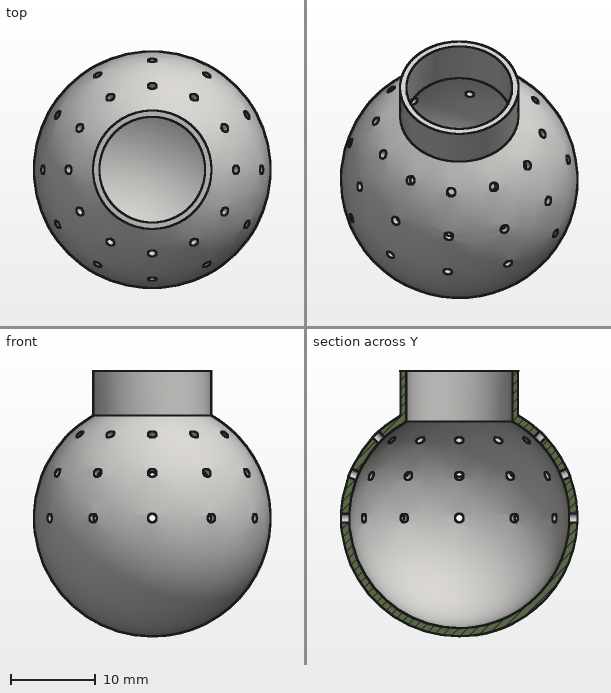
import cadquery as cq
import math

total_height = 31.4
ball_radius = 14.0
ball_wall = 1.0
neck_wall = 0.75
neck_radius = 7.0
hole_diameter = 1.0
holes_per_row = 12
row_latitudes = (0, 22.5, 45)

bore_radius = neck_radius - neck_wall
cavity_radius = ball_radius - ball_wall
ball_center = (0, 0, ball_radius)
neck_rise = total_height - ball_radius


def cylinder_from_center(radius, height):
    """Vertical cylinder rising from the ball center."""
    return cq.Workplane("XY", origin=ball_center).circle(radius).extrude(height)


def ball(radius):
    return cq.Workplane("XY").sphere(radius).translate(ball_center)


def radial_hole(latitude, longitude):
    """Cutter running from the ball center outward through the wall."""
    lat = math.radians(latitude)
    lon = math.radians(longitude)
    direction = cq.Vector(
        math.cos(lat) * math.cos(lon),
        math.cos(lat) * math.sin(lon),
        math.sin(lat),
    )
    cutter_length = ball_radius + ball_wall
    return cq.Solid.makeCylinder(
        hole_diameter / 2, cutter_length, cq.Vector(*ball_center), direction
    )


body = ball(ball_radius).union(cylinder_from_center(neck_radius, neck_rise))
body = body.cut(ball(cavity_radius))
body = body.cut(cylinder_from_center(bore_radius, neck_rise))

longitude_step = 360 / holes_per_row
for latitude in row_latitudes:
    for index in range(holes_per_row):
        body = body.cut(cq.Workplane(radial_hole(latitude, index * longitude_step)))

result = body